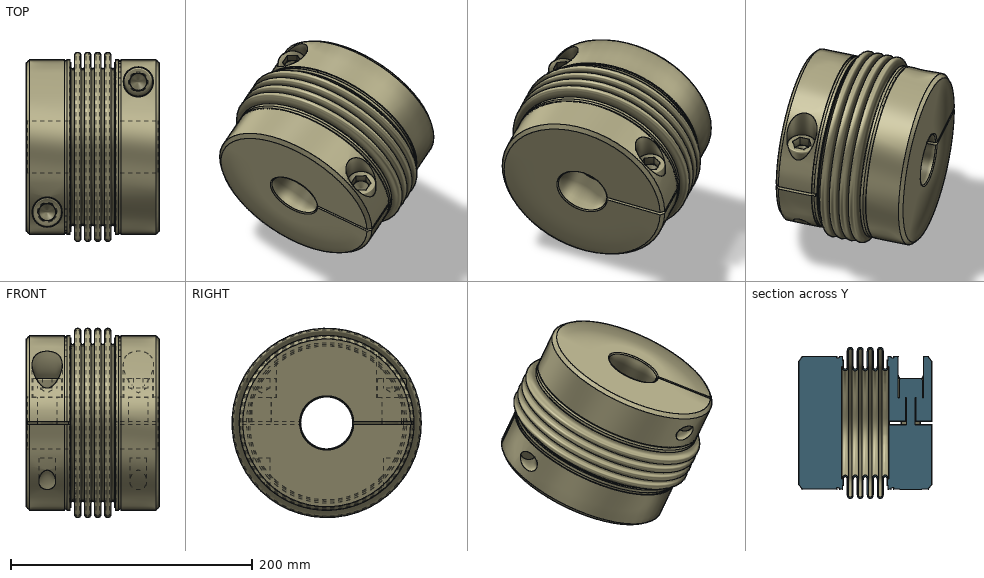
import cadquery as cq
import math


overall_length = 110.48
left_face = -overall_length / 2

hub_radius = 145 / 2
hub_rim_length = 31.7
rim_chamfer = 3.0
bore_radius = 43 / 2
bore_chamfer = 1.0

neck_radius = 143.2 / 2
neck_straight = 0.9
neck_fillet = 1.5
neck_depth = hub_radius - neck_radius
fillet_reach = math.sqrt(neck_fillet**2 - (neck_fillet - neck_depth) ** 2)

wave_count = 4
bellows_radius = 157 / 2
root_radius = 65.0
crest_width = 5.4
gap_width = 2.9
crest_round = crest_width / 2
gap_round = gap_width / 2
wall = (crest_width - gap_width) / 2
crest_center_radius = bellows_radius - crest_round
root_center_radius = root_radius + gap_round
wave_pitch = crest_width + gap_width
bellows_half = (wave_count * wave_pitch + gap_width) / 2

plate_radius = 70.2
plate_step = 0.7
collar_end = -bellows_half - plate_step
hub_end = -bellows_half - wall
collar_start = left_face + hub_rim_length + neck_straight + fillet_reach

slot_width = 2.7
collar_slot_length = 35.2

screw_x = left_face + 17.5
screw_y = -54.0
seat_height = 21.0
counterbore_radius = 25 / 2
clearance_radius = 16.3 / 2
thread_hole_radius = 14 / 2
shank_radius = 16 / 2
screw_length = 50.0
head_radius = 24 / 2
head_height = 16.0
head_fillet = 1.5
socket_across_flats = 14.0
socket_depth = 8.0
socket_cone_slope = math.tan(math.radians(30))


def revolve_about_x(profile):
    """Revolve a closed profile, drawn as (x, radius), a full turn about X."""
    return profile.close().revolve(360, (0, 0, 0), (1, 0, 0))


def rod(radius, bottom, top):
    """Cylinder on the screw axis between two heights."""
    base = cq.Workplane("XY", origin=(screw_x, screw_y, bottom))
    return base.circle(radius).extrude(top - bottom)


def make_hub_blank():
    """Turned hub: chamfered rim, filleted neck and bellows collar around the bore."""
    neck_start = left_face + hub_rim_length
    fillet_start = neck_start + neck_straight
    fillet_mid_angle = math.asin(fillet_reach / neck_fillet) / 2
    fillet_mid = (
        fillet_start + neck_fillet * math.sin(fillet_mid_angle),
        neck_radius + neck_fillet * (1 - math.cos(fillet_mid_angle)),
    )
    profile = (
        cq.Workplane("XY")
        .moveTo(left_face, bore_radius + bore_chamfer)
        .lineTo(left_face, hub_radius - rim_chamfer)
        .lineTo(left_face + rim_chamfer, hub_radius)
        .lineTo(neck_start, hub_radius)
        .lineTo(neck_start, neck_radius)
        .lineTo(fillet_start, neck_radius)
        .threePointArc(fillet_mid, (collar_start, hub_radius))
        .lineTo(collar_end, hub_radius)
        .lineTo(collar_end, plate_radius)
        .lineTo(hub_end, plate_radius)
        .lineTo(hub_end, bore_radius)
        .lineTo(left_face + bore_chamfer, bore_radius)
    )
    return revolve_about_x(profile).rotate((0, 0, 0), (1, 0, 0), 180)


def make_slot_cutter():
    """Radial slot from the bore to the outside; it stops a little earlier in the collar."""
    corner = cq.Workplane("XY", origin=(left_face, 0, -slot_width / 2))
    outer_slot = corner.rect(collar_slot_length, -bellows_radius, centered=False).extrude(slot_width)
    full_length = hub_end - left_face
    inner_slot = corner.rect(full_length, -bellows_radius, centered=False).extrude(slot_width)
    neck_core = cq.Workplane("YZ", origin=(left_face, 0, 0)).circle(neck_radius).extrude(full_length)
    return outer_slot.union(inner_slot.intersect(neck_core))


def make_screw():
    """Socket-head screw with a rounded head edge and a cone at the socket floor."""
    head_top = seat_height + head_height
    head = rod(head_radius, seat_height, head_top).faces(">Z").edges().fillet(head_fillet)
    shank = rod(shank_radius, seat_height - screw_length, seat_height)
    socket_floor = head_top - socket_depth
    across_corners = socket_across_flats / math.cos(math.radians(30))
    socket = (
        cq.Workplane("XY", origin=(screw_x, screw_y, socket_floor))
        .polygon(6, across_corners)
        .extrude(socket_depth)
    )
    cone_radius = socket_across_flats / 2
    cone = cq.Workplane(
        cq.Solid.makeCone(
            cone_radius,
            0,
            cone_radius * socket_cone_slope,
            cq.Vector(screw_x, screw_y, socket_floor),
            cq.Vector(0, 0, -1),
        )
    )
    return head.union(shank).cut(socket).cut(cone)


def make_hub():
    """Complete left hub with its slot, screw holes and screw."""
    hub = make_hub_blank()
    hub = hub.cut(make_slot_cutter())
    hub = hub.cut(rod(counterbore_radius, seat_height, hub_radius))
    hub = hub.cut(rod(clearance_radius, 0, seat_height))
    hub = hub.cut(rod(thread_hole_radius, -hub_radius, 0))
    return hub.union(make_screw())


def make_bellows():
    """Thin-walled bellows, open inside, with a flat plate at each end."""
    profile = (
        cq.Workplane("XY")
        .moveTo(hub_end, root_center_radius)
        .lineTo(hub_end, plate_radius)
        .lineTo(-bellows_half, plate_radius)
    )
    x = -bellows_half
    for _ in range(wave_count):
        crest_start = x + gap_width
        crest_end = crest_start + crest_width
        profile = (
            profile.lineTo(x, root_center_radius)
            .threePointArc((x + gap_round, root_radius), (crest_start, root_center_radius))
            .lineTo(crest_start, crest_center_radius)
            .threePointArc((crest_start + crest_round, bellows_radius), (crest_end, crest_center_radius))
        )
        x = crest_end
    profile = (
        profile.lineTo(x, root_center_radius)
        .threePointArc((x + gap_round, root_radius), (bellows_half, root_center_radius))
        .lineTo(bellows_half, plate_radius)
        .lineTo(-hub_end, plate_radius)
        .lineTo(-hub_end, root_center_radius)
    )
    x = -hub_end
    for _ in range(wave_count):
        root_end = x - crest_width
        crest_end = root_end - gap_width
        profile = (
            profile.threePointArc((x - crest_round, root_radius - wall), (root_end, root_center_radius))
            .lineTo(root_end, crest_center_radius)
            .threePointArc((root_end - gap_round, bellows_radius - wall), (crest_end, crest_center_radius))
            .lineTo(crest_end, root_center_radius)
        )
        x = crest_end
    profile = profile.threePointArc((x - crest_round, root_radius - wall), (hub_end, root_center_radius))
    return revolve_about_x(profile)


left_hub = make_hub()
right_hub = left_hub.rotate((0, 0, 0), (0, 0, 1), 180)
result = make_bellows().union(left_hub).union(right_hub)